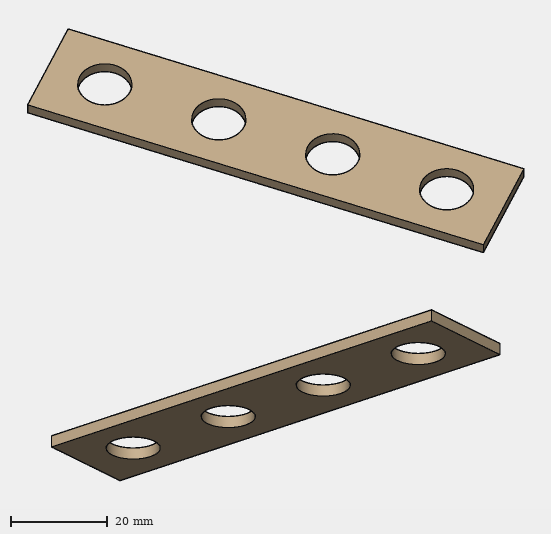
import cadquery as cq

length = 101.6
width = 22.4
thickness = 2.5

hole_count = 4
hole_diameter = 11.2
hole_pitch = length / hole_count

bar = cq.Workplane("XY").box(length, width, thickness)

result = (
    bar.faces(">Z")
    .workplane()
    .rarray(hole_pitch, width, hole_count, 1)
    .hole(hole_diameter)
)